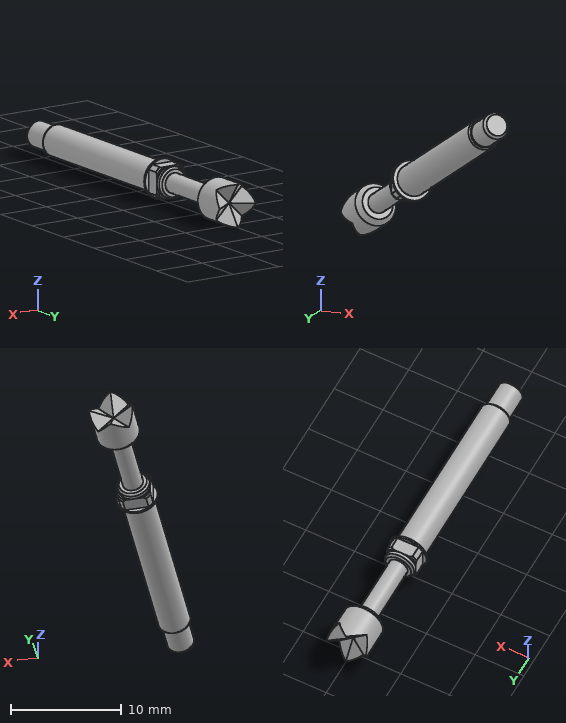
import cadquery as cq
import math


head_dia = 4.0
head_length = 4.0
head_chamfer = 0.5
tip_y = 12.3
groove_slope = 1.0
groove_angle = 45
groove_depth = groove_slope * head_dia / 2 * math.sin(math.radians(groove_angle))

shaft_dia = 1.9

barrel_dia = 3.0
barrel_front_y = 2.05
barrel_rear_y = -17.0
barrel_front_chamfer = 0.2
barrel_rear_chamfer = 0.15

collar_dia = 3.8
collar_thickness = 0.2
square_front_y = 1.5
square_corner_dia = 3.7
square_corner_chamfer = 0.15
square_across_flats = barrel_dia

tail_dia = 2.5
tail_rear_y = -20.0
tail_chamfer = 0.25


def cylinder(diameter, start_y, end_y):
    """Cylinder about the Y axis, from start_y up to end_y."""
    profile = cq.Workplane("XZ", origin=(0, end_y, 0)).circle(diameter / 2)
    return profile.extrude(end_y - start_y)


def make_head():
    """Round head, chamfered at the back, with two crossed V grooves leaving four teeth."""
    back_y = tip_y - head_length
    head = cylinder(head_dia, back_y, tip_y).faces("<Y").chamfer(head_chamfer)
    bottom_y = tip_y - groove_depth
    cutter_height = head_dia
    cutter_half_width = cutter_height / groove_slope
    groove = (
        cq.Workplane("XY")
        .moveTo(0, bottom_y)
        .lineTo(cutter_half_width, bottom_y + cutter_height)
        .lineTo(-cutter_half_width, bottom_y + cutter_height)
        .close()
        .extrude(head_dia, both=True)
    )
    for angle in (groove_angle, -groove_angle):
        head = head.cut(groove.rotate((0, 0, 0), (0, 1, 0), angle))
    return head


def make_shaft():
    """Plunger shaft joining the head to the barrel."""
    return cylinder(shaft_dia, barrel_front_y, tip_y - head_length)


def make_barrel():
    """Round barrel with both end edges chamfered."""
    barrel = cylinder(barrel_dia, barrel_rear_y, barrel_front_y)
    barrel = barrel.faces(">Y").chamfer(barrel_front_chamfer)
    return barrel.faces("<Y").chamfer(barrel_rear_chamfer)


def make_square_section():
    """Four flats on a round, with the front of the rounded corners chamfered."""
    rounded = cylinder(square_corner_dia, 0, square_front_y).faces(">Y").chamfer(square_corner_chamfer)
    square = cq.Workplane("XY").box(square_across_flats, 2 * square_front_y, square_across_flats)
    return rounded.intersect(square)


def make_collar():
    """Thin stop collar behind the square section."""
    return cylinder(collar_dia, 0, collar_thickness)


def make_tail():
    """Reduced pin at the rear, chamfered at its end."""
    return cylinder(tail_dia, tail_rear_y, barrel_rear_y).faces("<Y").chamfer(tail_chamfer)


result = (
    make_barrel()
    .union(make_square_section())
    .union(make_collar())
    .union(make_tail())
    .union(make_shaft())
    .union(make_head())
)